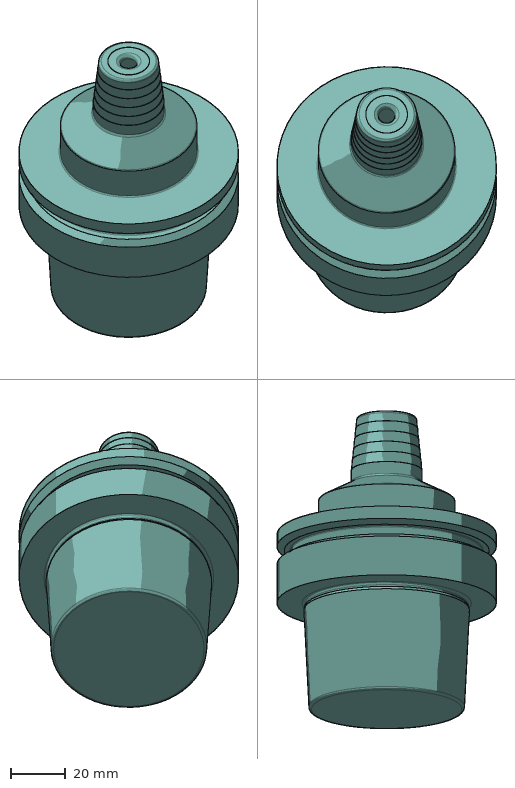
import cadquery as cq

total_height = 109.9
flange_bottom = 40.0
flange_top = 65.9
shoulder_z = 78.7
cone_top = 85.0

shank_end_radius = 28.4
shank_top_radius = 30.2
shank_edge_radius = 1.0
shank_taper_top = 37.4
relief_radius = 29.9
relief_bottom = 38.4
relief_fillet = 1.0

flange_radius = 40.0
groove_lip_radius = 37.4
groove_floor_radius = 35.0
groove_chamfer_bottom = 54.6
groove_bottom = 56.2
groove_top = 59.8
groove_chamfer_top = 61.3
groove_fillet = 0.3

neck_radius = 25.0
neck_foot_fillet = 0.4
shoulder_chamfer = 0.3

collar_radius = 13.0
collar_top = 90.0
collar_fillet = 1.0
ring_height = 4.0
ring_count = 5
ring_step = 0.1
ring_taper = 0.31
tip_fillet = 1.0

recess_radius = 7.6
recess_depth = 0.1
bore_radius = 3.0
bore_depth = 22.0
bore_mouth_fillet = 1.5


def nose_points():
    """Outline of the collar and the stepped rings, from the cone to the tip."""
    points = [(collar_radius, cone_top), (collar_radius, collar_top)]
    radius = collar_radius
    for ring in range(ring_count):
        ring_bottom = collar_top + ring * ring_height
        last_ring = ring == ring_count - 1
        ring_top = total_height if last_ring else ring_bottom + ring_height
        radius -= ring_step
        points.append((radius, ring_bottom))
        radius -= ring_taper
        points.append((radius, ring_top))
    return points


def body():
    """Solid of revolution carrying the shank, flange, neck and nose."""
    outline = [
        (0, 0),
        (shank_end_radius, 0),
        (shank_top_radius, shank_taper_top),
        (relief_radius, relief_bottom),
        (relief_radius, flange_bottom),
        (flange_radius, flange_bottom),
        (flange_radius, groove_chamfer_bottom),
        (groove_lip_radius, groove_bottom),
        (groove_floor_radius, groove_bottom),
        (groove_floor_radius, groove_top),
        (groove_lip_radius, groove_top),
        (flange_radius, groove_chamfer_top),
        (flange_radius, flange_top),
        (neck_radius, flange_top),
        (neck_radius, shoulder_z - shoulder_chamfer),
        (neck_radius - shoulder_chamfer, shoulder_z),
    ]
    outline += nose_points()
    outline.append((0, total_height))
    return cq.Workplane("XZ").polyline(outline).close().revolve(360, (0, 0), (0, 1))


def circle_edges(solid, radius, height):
    """Circular edges of the given radius at the given height."""
    tolerance = 0.01

    def matches(edge):
        box = edge.BoundingBox()
        return (
            edge.geomType() == "CIRCLE"
            and abs(edge.radius() - radius) < tolerance
            and abs(edge.Center().z - height) < tolerance
            and box.zlen < tolerance
        )

    return solid.newObject([edge for edge in solid.edges().vals() if matches(edge)])


def round_edges(solid):
    """Fillet the shank end, relief root, groove corners, neck foot, collar foot and tip."""
    tip_radius = collar_radius - ring_count * (ring_step + ring_taper)
    rounds = [
        (shank_end_radius, 0, shank_edge_radius),
        (relief_radius, flange_bottom, relief_fillet),
        (groove_floor_radius, groove_bottom, groove_fillet),
        (groove_floor_radius, groove_top, groove_fillet),
        (neck_radius, flange_top, neck_foot_fillet),
        (collar_radius, cone_top, collar_fillet),
        (tip_radius, total_height, tip_fillet),
    ]
    for radius, height, fillet in rounds:
        solid = circle_edges(solid, radius, height).fillet(fillet)
    return solid


def cut_tip(solid):
    """Sink the shallow tip recess and the blind bore with its rounded mouth."""
    recess_z = total_height - recess_depth
    recess = cq.Workplane("XY", origin=(0, 0, recess_z)).circle(recess_radius).extrude(recess_depth)
    bore = cq.Workplane("XY", origin=(0, 0, recess_z)).circle(bore_radius).extrude(-bore_depth)
    solid = solid.cut(recess).cut(bore)
    return circle_edges(solid, bore_radius, recess_z).fillet(bore_mouth_fillet)


result = cut_tip(round_edges(body()))